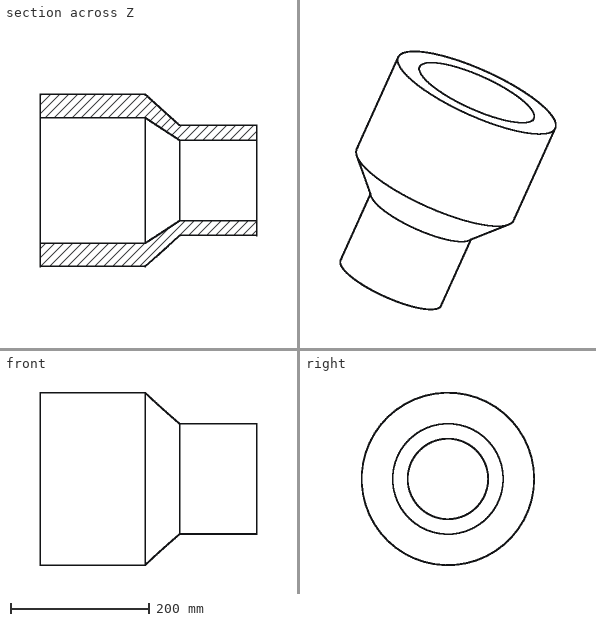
import cadquery as cq

large_diameter = 250.0
large_wall = 34.2
large_length = 152.0
small_diameter = 160.0
small_wall = 21.9
small_length = 112.0
total_length = 314.0

cone_start = large_length
cone_end = total_length - small_length


def stepped_body(large_radius, small_radius):
    """Solid of revolution: large cylinder, cone, then small cylinder."""
    return (
        cq.Workplane("XY")
        .moveTo(0, 0)
        .lineTo(0, large_radius)
        .lineTo(cone_start, large_radius)
        .lineTo(cone_end, small_radius)
        .lineTo(total_length, small_radius)
        .lineTo(total_length, 0)
        .close()
        .revolve(360, (0, 0, 0), (1, 0, 0))
    )


large_radius = large_diameter / 2
small_radius = small_diameter / 2

outside = stepped_body(large_radius, small_radius)
bore = stepped_body(large_radius - large_wall, small_radius - small_wall)

result = outside.cut(bore)